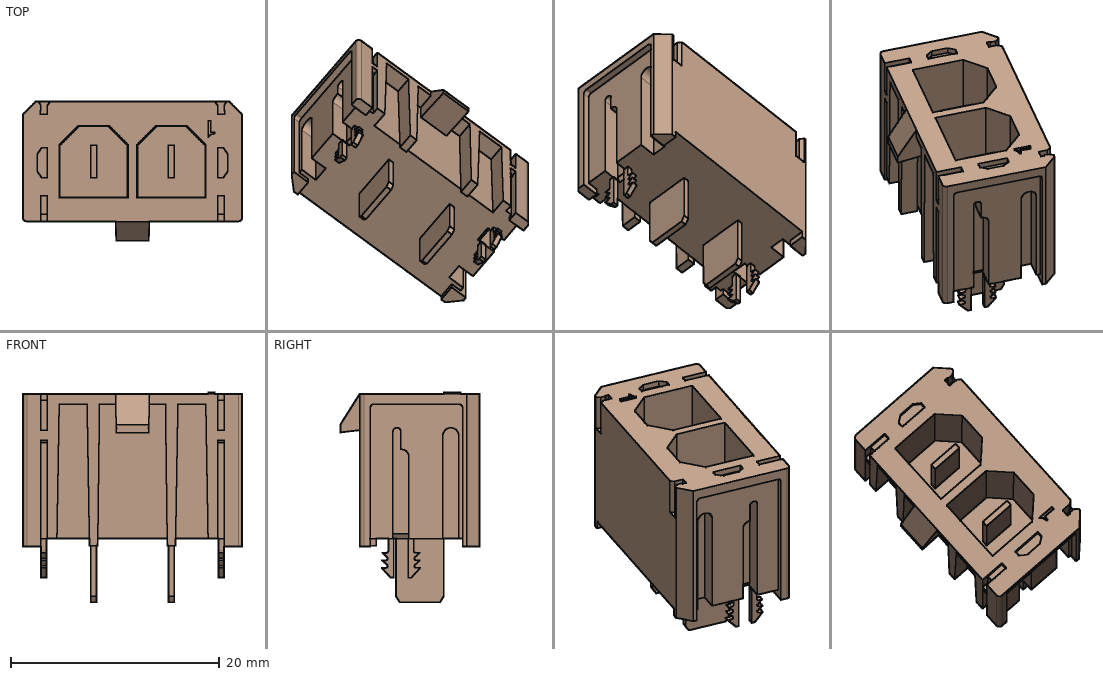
import cadquery as cq
import math


BODY_WIDTH = 21.08
BODY_DEPTH = 11.53
BODY_HEIGHT = 14.68
OVERALL_HEIGHT = 20.19
HALF_WIDTH = BODY_WIDTH / 2
BACK_CHAMFER = 1.25
FRONT_FILLET = 0.38
CORE_BOTTOM = -13.9
FRAME_HEIGHT = 1.0
FOOT_INNER_X = 8.79
FRONT_FOOT_DEPTH = 1.0
BACK_FOOT_DEPTH = 1.63
CLEARANCE = 1.0

CIRCUIT_PITCH = 7.46
CIRCUIT_X = (-CIRCUIT_PITCH / 2, CIRCUIT_PITCH / 2)
CHAMBER_WIDTH = 6.64
CHAMBER_FRONT = 2.27
CHAMBER_BACK = 9.22
CHAMBER_CHAMFER = 1.87
CHAMBER_DEPTH = 12.5
CHAMBER_DRAFT = 0.35
BLADE_THICKNESS = 0.56
BLADE_CENTER_Y = 5.78
BLADE_WIDTH = 3.12
BLADE_TOP = -3.13
TAIL_WIDTH = 4.6
TAIL_BOTTOM = -20.02
TAIL_TIP_INSET = 0.35
TAIL_TIP_HEIGHT = 0.58

POCKET_DEPTH = 1.6
OUTER_POCKET_TOP_X = 7.04
OUTER_POCKET_BOTTOM_X = 7.26
RIB_BOTTOM = -14.6
RIB_OUTER_TOP_X = 4.36
RIB_OUTER_BOTTOM_X = 4.13
RIB_INNER_TOP_X = 3.17
RIB_INNER_BOTTOM_X = 3.34

LATCH_REACH = 1.86
LATCH_TOP_WIDTH = 3.27
LATCH_BOTTOM_WIDTH = 3.1
LATCH_RAMP_DROP = 2.95
LATCH_TIP_BOTTOM = -3.72
LATCH_ROOT_BOTTOM = -3.5

SLOT_INNER_X = 8.17
SLOT_OUTER_X = 8.79
TOP_SLOT_LENGTH = 2.48
TOP_SLOT_DEPTH = 0.6
FRONT_SLOT_DEPTH = 0.68
FRONT_SLOT_BOTTOM = -3.5
LOWER_SLOT_TOP = -4.48
LOWER_SLOT_BEVEL = 0.23

DIMPLE_OUTER_X = 9.17
DIMPLE_FRONT = 4.2
DIMPLE_BACK = 7.09
DIMPLE_CHAMFER_X = 0.45
DIMPLE_CHAMFER_Y = 0.65
DIMPLE_DEPTH = 0.6

CHANNEL_BOTTOM_Z = FRONT_SLOT_BOTTOM
CHANNEL_INNER_Y = 10.28
CHANNEL_HOOK_Y = 10.62
CHANNEL_HOOK = 0.09
CHANNEL_FLARE = 0.26
CHANNEL_FLARE_HEIGHT = 0.38

RECESS_DEPTH = 0.65
RECESS_FILLET = 0.38
SIDE_SLOT_TOP = -3.26
SIDE_SLOT_WIDTH = 1.52
BACK_SLOT_FRONT = 7.99
STEPPED_SLOT_FRONT = 3.2
NARROW_SLOT_WIDTH = SIDE_SLOT_WIDTH / 2
STEP_Z = -5.34
STEP_RADIUS = 0.7
ENTRY_BEVEL_HEIGHT = 0.45
ENTRY_BEVEL_DEPTH = 0.3

LOCK_THICKNESS = 0.55
LOCK_CENTER_Y = 3.965
PRONG_INNER = 0.68
PRONG_OUTER = 1.21
BARB_ROOT = 1.27
BARB_REACHES = (1.79, 1.82, 1.86)
BARB_PITCH = 0.72
FIRST_BARB_Z = -15.27
BARB_FILLET = 0.22
PRONG_TIP = 1.0
PRONG_BOTTOM = -17.66

MARK_HEIGHT = OVERALL_HEIGHT + TAIL_BOTTOM
MARK_X = 7.26
MARK_FRONT = 8.1
MARK_BACK = 9.7
MARK_STROKE = 0.25
MARK_FLAG_LENGTH = 0.65
MARK_FLAG_Y = 8.58


def box(x_range, y_range, z_range):
    """Block between the given limits."""
    sizes = [r[1] - r[0] for r in (x_range, y_range, z_range)]
    corner = (x_range[0], y_range[0], z_range[0])
    return cq.Workplane("XY").box(*sizes, centered=False).translate(corner)


def prism_along_x(points, x_start, x_end):
    """Closed (y, z) outline extruded from x_start to x_end."""
    return cq.Workplane("YZ", origin=(x_start, 0, 0)).polyline(points).close().extrude(x_end - x_start)


def prism_down(points, depth):
    """Closed (x, y) outline extruded down from the mating face."""
    return cq.Workplane("XY").polyline(points).close().extrude(-depth)


def prism_from_front(points, depth):
    """Closed (x, z) outline extruded back from the front face."""
    return cq.Workplane("XZ").polyline(points).close().extrude(-depth)


def both_ends(shape):
    """The shape together with its mirror image about X = 0."""
    return shape.union(shape.mirror("YZ"))


def housing_block():
    block = box((-HALF_WIDTH, HALF_WIDTH), (0, BODY_DEPTH), (-BODY_HEIGHT, 0))
    block = block.edges("|Z and >Y").chamfer(BACK_CHAMFER)
    block = block.edges("|Z and <Y").fillet(FRONT_FILLET)
    below_core = (-BODY_HEIGHT - CLEARANCE, CORE_BOTTOM)
    between_ends = box((-FOOT_INNER_X, FOOT_INNER_X), (-CLEARANCE, BODY_DEPTH + CLEARANCE), below_core)
    between_feet = box((-HALF_WIDTH - CLEARANCE, HALF_WIDTH + CLEARANCE),
                       (FRONT_FOOT_DEPTH, BODY_DEPTH - BACK_FOOT_DEPTH), below_core)
    return block.cut(between_ends).cut(between_feet)


def chamber(center_x):
    half = CHAMBER_WIDTH / 2
    shoulder = half - CHAMBER_CHAMFER
    outline = [
        (center_x - half, CHAMBER_FRONT),
        (center_x + half, CHAMBER_FRONT),
        (center_x + half, CHAMBER_BACK - CHAMBER_CHAMFER),
        (center_x + shoulder, CHAMBER_BACK),
        (center_x - shoulder, CHAMBER_BACK),
        (center_x - half, CHAMBER_BACK - CHAMBER_CHAMFER),
    ]
    return cq.Workplane("XY").polyline(outline).close().extrude(-CHAMBER_DEPTH, taper=CHAMBER_DRAFT)


def blade(center_x):
    start = center_x - BLADE_THICKNESS / 2
    end = center_x + BLADE_THICKNESS / 2
    half_blade = BLADE_WIDTH / 2
    half_tail = TAIL_WIDTH / 2
    half_tip = half_tail - TAIL_TIP_INSET
    shoulder = -CHAMBER_DEPTH
    half_outline = [
        (half_blade, BLADE_TOP),
        (half_blade, shoulder),
        (half_tail, shoulder),
        (half_tail, TAIL_BOTTOM + TAIL_TIP_HEIGHT),
        (half_tip, TAIL_BOTTOM),
    ]
    back = [(BLADE_CENTER_Y + y, z) for y, z in half_outline]
    front = [(BLADE_CENTER_Y - y, z) for y, z in reversed(half_outline)]
    return prism_along_x(back + front, start, end)


def front_pocket():
    outline = [
        (-OUTER_POCKET_TOP_X, -FRAME_HEIGHT),
        (OUTER_POCKET_TOP_X, -FRAME_HEIGHT),
        (OUTER_POCKET_BOTTOM_X, CORE_BOTTOM),
        (-OUTER_POCKET_BOTTOM_X, CORE_BOTTOM),
    ]
    return prism_from_front(outline, POCKET_DEPTH)


def front_ribs():
    outline = [
        (RIB_INNER_TOP_X, -FRAME_HEIGHT),
        (RIB_OUTER_TOP_X, -FRAME_HEIGHT),
        (RIB_OUTER_BOTTOM_X, RIB_BOTTOM),
        (RIB_INNER_BOTTOM_X, RIB_BOTTOM),
    ]
    return both_ends(prism_from_front(outline, POCKET_DEPTH))


def latch():
    underside_slope = (LATCH_ROOT_BOTTOM - LATCH_TIP_BOTTOM) / LATCH_REACH
    profile = [
        (0, 0),
        (-LATCH_REACH, -LATCH_RAMP_DROP),
        (-LATCH_REACH, LATCH_TIP_BOTTOM),
        (POCKET_DEPTH, LATCH_ROOT_BOTTOM + underside_slope * POCKET_DEPTH),
        (POCKET_DEPTH, 0),
    ]
    half_top = LATCH_TOP_WIDTH / 2
    half_bottom = LATCH_BOTTOM_WIDTH / 2
    front_outline = [
        (-half_top, 0),
        (half_top, 0),
        (half_bottom, LATCH_TIP_BOTTOM),
        (-half_bottom, LATCH_TIP_BOTTOM),
    ]
    tapered_sides = prism_from_front(front_outline, LATCH_REACH + POCKET_DEPTH)
    tapered_sides = tapered_sides.translate((0, -LATCH_REACH, 0))
    return prism_along_x(profile, -half_top, half_top).intersect(tapered_sides)


def front_slots():
    slot_x = (SLOT_INNER_X, SLOT_OUTER_X)
    across_top = box(slot_x, (0, TOP_SLOT_LENGTH), (-TOP_SLOT_DEPTH, 0))
    upper = box(slot_x, (0, FRONT_SLOT_DEPTH), (FRONT_SLOT_BOTTOM, 0))
    lower_profile = [
        (0, LOWER_SLOT_TOP),
        (FRONT_SLOT_DEPTH - LOWER_SLOT_BEVEL, LOWER_SLOT_TOP),
        (FRONT_SLOT_DEPTH, LOWER_SLOT_TOP - LOWER_SLOT_BEVEL),
        (FRONT_SLOT_DEPTH, -BODY_HEIGHT),
        (0, -BODY_HEIGHT),
    ]
    lower = prism_along_x(lower_profile, SLOT_INNER_X, SLOT_OUTER_X)
    return both_ends(across_top.union(upper).union(lower))


def dimples():
    outline = [
        (SLOT_INNER_X, DIMPLE_FRONT),
        (DIMPLE_OUTER_X - DIMPLE_CHAMFER_X, DIMPLE_FRONT),
        (DIMPLE_OUTER_X, DIMPLE_FRONT + DIMPLE_CHAMFER_Y),
        (DIMPLE_OUTER_X, DIMPLE_BACK - DIMPLE_CHAMFER_Y),
        (DIMPLE_OUTER_X - DIMPLE_CHAMFER_X, DIMPLE_BACK),
        (SLOT_INNER_X, DIMPLE_BACK),
    ]
    return both_ends(prism_down(outline, DIMPLE_DEPTH))


def back_channels():
    flare_y = BODY_DEPTH - CHANNEL_FLARE_HEIGHT
    outline = [
        (SLOT_INNER_X, CHANNEL_INNER_Y),
        (SLOT_OUTER_X + CHANNEL_HOOK, CHANNEL_INNER_Y),
        (SLOT_OUTER_X + CHANNEL_HOOK, CHANNEL_HOOK_Y),
        (SLOT_OUTER_X, CHANNEL_HOOK_Y),
        (SLOT_OUTER_X, flare_y),
        (SLOT_OUTER_X + CHANNEL_FLARE, BODY_DEPTH),
        (SLOT_INNER_X - CHANNEL_FLARE, BODY_DEPTH),
        (SLOT_INNER_X, flare_y),
    ]
    return both_ends(prism_down(outline, -CHANNEL_BOTTOM_Z))


def side_recesses():
    recess = box((HALF_WIDTH - RECESS_DEPTH, HALF_WIDTH),
                 (FRONT_FOOT_DEPTH, BODY_DEPTH - BACK_FOOT_DEPTH),
                 (-BODY_HEIGHT, -FRAME_HEIGHT))
    return both_ends(recess.edges("|X and >Z").fillet(RECESS_FILLET))


def round_top_slot(y_front, width):
    """Open-bottomed side slot with a semicircular top."""
    radius = width / 2
    y_back = y_front + width
    spring_z = SIDE_SLOT_TOP - radius
    sketch = cq.Workplane("YZ", origin=(SLOT_INNER_X, 0, 0)).moveTo(y_front, CORE_BOTTOM)
    sketch = sketch.lineTo(y_front, spring_z)
    sketch = sketch.threePointArc((y_front + radius, SIDE_SLOT_TOP), (y_back, spring_z))
    return sketch.lineTo(y_back, CORE_BOTTOM).close().extrude(HALF_WIDTH - SLOT_INNER_X)


def stepped_slot():
    """Narrow round-topped slot that widens toward the back below a rounded step."""
    y_front = STEPPED_SLOT_FRONT
    y_back = y_front + SIDE_SLOT_WIDTH
    arc_y = y_back - STEP_RADIUS
    arc_z = STEP_Z - STEP_RADIUS
    arc_reach = STEP_RADIUS * math.sqrt(0.5)
    wide = cq.Workplane("YZ", origin=(SLOT_INNER_X, 0, 0)).moveTo(y_front, CORE_BOTTOM)
    wide = wide.lineTo(y_front, STEP_Z).lineTo(arc_y, STEP_Z)
    wide = wide.threePointArc((arc_y + arc_reach, arc_z + arc_reach), (y_back, arc_z))
    wide = wide.lineTo(y_back, CORE_BOTTOM).close().extrude(HALF_WIDTH - SLOT_INNER_X)
    bevel_outline = [
        (SLOT_INNER_X, CORE_BOTTOM),
        (SLOT_INNER_X, CORE_BOTTOM + ENTRY_BEVEL_HEIGHT),
        (SLOT_INNER_X - ENTRY_BEVEL_DEPTH, CORE_BOTTOM),
    ]
    bevel = prism_from_front(bevel_outline, SIDE_SLOT_WIDTH).translate((0, y_front, 0))
    return wide.union(round_top_slot(y_front, NARROW_SLOT_WIDTH)).union(bevel)


def side_slots():
    return both_ends(round_top_slot(BACK_SLOT_FRONT, SIDE_SLOT_WIDTH).union(stepped_slot()))


def prong(direction):
    """Barbed prong on the back (+1) or front (-1) side of the lock; each barb top has a root fillet."""
    def at(offset, z):
        return (LOCK_CENTER_Y + direction * offset, z)

    arc_inset = BARB_FILLET * (1 - math.sqrt(0.5))
    sketch = cq.Workplane("YZ", origin=(SLOT_OUTER_X - LOCK_THICKNESS, 0, 0))
    sketch = sketch.moveTo(*at(PRONG_INNER, CORE_BOTTOM)).lineTo(*at(PRONG_OUTER, CORE_BOTTOM))
    for index, reach in enumerate(BARB_REACHES):
        barb_z = FIRST_BARB_Z - index * BARB_PITCH
        root = PRONG_OUTER if index == 0 else BARB_ROOT
        sketch = sketch.lineTo(*at(root, barb_z + BARB_FILLET))
        arc_middle = at(root + arc_inset, barb_z + arc_inset)
        sketch = sketch.threePointArc(arc_middle, at(root + BARB_FILLET, barb_z))
        sketch = sketch.lineTo(*at(reach, barb_z))
    sketch = sketch.lineTo(*at(PRONG_TIP, PRONG_BOTTOM)).lineTo(*at(PRONG_INNER, PRONG_BOTTOM))
    return sketch.close().extrude(LOCK_THICKNESS)


def board_locks():
    return both_ends(prong(1).union(prong(-1)))


def pin_one_mark():
    outline = [
        (MARK_X, MARK_FRONT),
        (MARK_X + MARK_STROKE, MARK_FRONT + MARK_STROKE),
        (MARK_X + MARK_FLAG_LENGTH, MARK_FLAG_Y - MARK_STROKE / 2),
        (MARK_X + MARK_FLAG_LENGTH, MARK_FLAG_Y),
        (MARK_X + MARK_STROKE, MARK_FLAG_Y),
        (MARK_X + MARK_STROKE, MARK_BACK),
        (MARK_X, MARK_BACK),
    ]
    return cq.Workplane("XY").polyline(outline).close().extrude(MARK_HEIGHT)


housing = housing_block().cut(front_pocket()).union(front_ribs()).union(latch())
for cutter in (front_slots(), dimples(), back_channels(), side_recesses(), side_slots()):
    housing = housing.cut(cutter)
for circuit_x in CIRCUIT_X:
    housing = housing.cut(chamber(circuit_x)).union(blade(circuit_x))

result = housing.union(board_locks()).union(pin_one_mark())